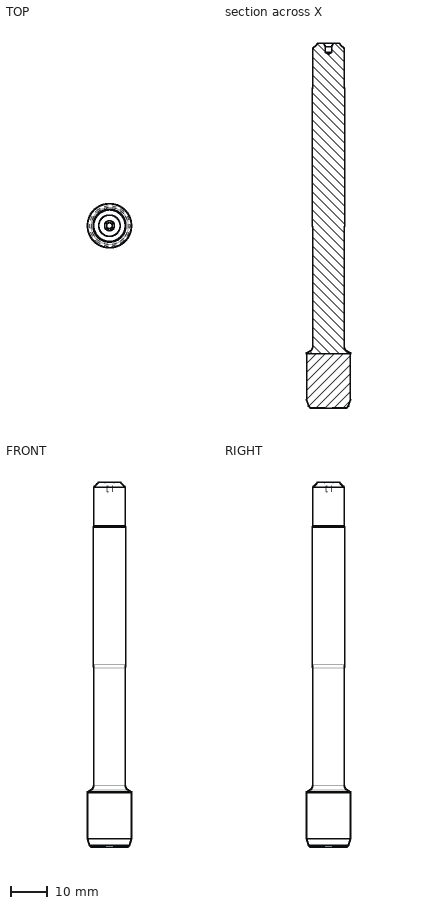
import cadquery as cq
import math

total_length = 100.0

head_diameter = 12.12
head_length = 15.0
lead_top = 2.3
lead_bottom_diameter = 11.0
tip_chamfer = 0.45
end_cone_height = 0.08

foot_rim_height = 0.15
foot_cone_angle = 30.0
foot_fillet_radius = 1.5
foot_cone_top_diameter = 10.2
neck_diameter = 8.7
guide_diameter = 9.0
guide_bottom = 49.1
guide_taper_height = 1.0
guide_top = 88.0
guide_chamfer_height = 0.3
drive_diameter = 8.64
drive_chamfer = 1.4

hole_diameter = 1.6
hole_depth = 2.5
hole_point_angle = 118.0
countersink_diameter = 2.7
countersink_angle = 60.0


def revolve_about_z(profile):
    return profile.close().revolve(360, (0, 0, 0), (0, 1, 0))


def make_head():
    radius = head_diameter / 2
    lead_bottom_radius = lead_bottom_diameter / 2
    profile = (
        cq.Workplane("XZ")
        .moveTo(0, 0)
        .lineTo(lead_bottom_radius - tip_chamfer, end_cone_height)
        .lineTo(lead_bottom_radius, end_cone_height + tip_chamfer)
        .lineTo(radius, lead_top)
        .lineTo(radius, head_length)
        .lineTo(0, head_length)
    )
    return revolve_about_z(profile)


def make_shank_blank():
    foot_radius = head_diameter / 2
    cone_top_radius = foot_cone_top_diameter / 2
    neck_radius = neck_diameter / 2
    guide_radius = guide_diameter / 2
    drive_radius = drive_diameter / 2
    slope = math.radians(foot_cone_angle)
    foot_rim_top = head_length + foot_rim_height
    cone_top = foot_rim_top + (foot_radius - cone_top_radius) * math.tan(slope)
    fillet_top = cone_top + foot_fillet_radius * math.cos(slope)
    profile = (
        cq.Workplane("XZ")
        .moveTo(0, head_length)
        .lineTo(foot_radius, head_length)
        .lineTo(foot_radius, foot_rim_top)
        .lineTo(cone_top_radius, cone_top)
        .radiusArc((neck_radius, fillet_top), foot_fillet_radius)
        .lineTo(neck_radius, guide_bottom)
        .lineTo(guide_radius, guide_bottom + guide_taper_height)
        .lineTo(guide_radius, guide_top - guide_chamfer_height)
        .lineTo(drive_radius, guide_top)
        .lineTo(drive_radius, total_length - drive_chamfer)
        .lineTo(drive_radius - drive_chamfer, total_length)
        .lineTo(0, total_length)
    )
    return revolve_about_z(profile)


def make_centre_hole():
    hole_radius = hole_diameter / 2
    countersink_radius = countersink_diameter / 2
    countersink_slope = math.tan(math.radians(countersink_angle / 2))
    countersink_depth = (countersink_radius - hole_radius) / countersink_slope
    point_depth = hole_radius / math.tan(math.radians(hole_point_angle / 2))
    hole_floor = total_length - hole_depth
    profile = (
        cq.Workplane("XZ")
        .moveTo(0, total_length)
        .lineTo(countersink_radius, total_length)
        .lineTo(hole_radius, total_length - countersink_depth)
        .lineTo(hole_radius, hole_floor)
        .lineTo(0, hole_floor - point_depth)
    )
    return revolve_about_z(profile)


head = make_head()
shank = make_shank_blank().cut(make_centre_hole())

result = cq.Compound.makeCompound([head.val(), shank.val()])